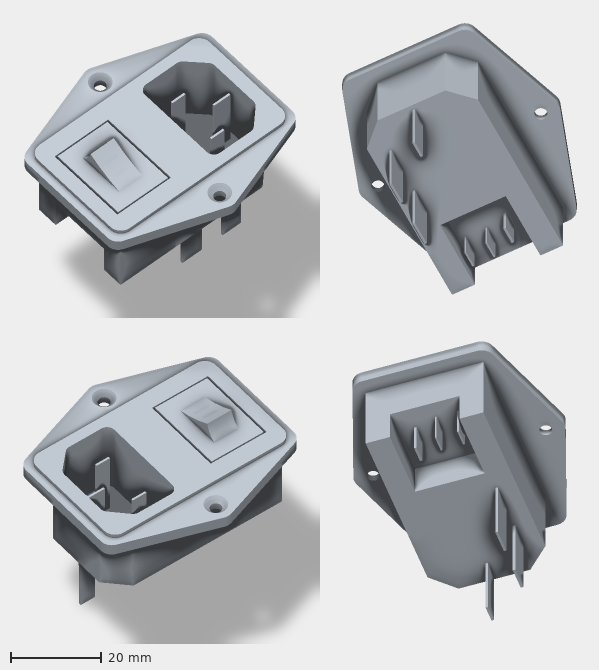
import cadquery as cq
import math


FLANGE_X = 49.45
FLANGE_Y = 54.0
FLANGE_THICKNESS = 3.0
FLANGE_LEAN = 18.8
CORNER_RADIUS = 3.0

BEZEL_X = 30.55
BEZEL_Y = 50.15
BEZEL_HEIGHT = 1.1

HOLE_SPACING = 40.5
HOLE_DIAMETER = 2.85
COUNTERSINK_DIAMETER = 5.45
COUNTERSINK_ANGLE = 90.0

BODY_X = 27.65
BODY_Y = 47.0
BODY_HEIGHT = 17.05
BODY_CHAMFER = 5.4

FLANGE_TOP = -BEZEL_HEIGHT
FLANGE_BOTTOM = FLANGE_TOP - FLANGE_THICKNESS
BODY_BOTTOM = FLANGE_BOTTOM - BODY_HEIGHT

SOCKET_X = 25.05
SOCKET_Y = 17.0
SOCKET_CENTRE_Y = 13.2
SOCKET_CHAMFER = 5.15
SOCKET_RADIUS = 2.05
SOCKET_FLOOR_THICKNESS = 2.15
SOCKET_FLOOR = BODY_BOTTOM + SOCKET_FLOOR_THICKNESS

PIN_THICKNESS = 0.55
PIN_TOP = -2.75
EARTH_PIN_WIDTH = 4.75
EARTH_PIN_Y = 18.05
LINE_PIN_WIDTH = 3.8
LINE_PIN_Y = 11.0
LINE_PIN_X = 6.6
SOCKET_PINS = [
    (0, EARTH_PIN_Y, EARTH_PIN_WIDTH),
    (-LINE_PIN_X, LINE_PIN_Y, LINE_PIN_WIDTH),
    (LINE_PIN_X, LINE_PIN_Y, LINE_PIN_WIDTH),
]

TERMINAL_THICKNESS = 0.6
TERMINAL_LENGTH = 15.05
SIDE_TERMINAL_X = 9.3
TERMINALS = [
    (0, 20.4, 4.0),
    (SIDE_TERMINAL_X, 12.75, 5.4),
    (SIDE_TERMINAL_X, 1.2, 5.8),
]

SWITCH_CENTRE_Y = -13.8
SWITCH_X = 20.5
SWITCH_Y = 14.6
SWITCH_GAP_X = 0.4
SWITCH_GAP_Y = 0.55
SWITCH_DEPTH = -FLANGE_BOTTOM

ROCKER_HALF_LENGTH = 6.15
ROCKER_WIDTH = 6.8
ROCKER_HEIGHT = 4.05
ROCKER_RIDGE_X = -3.6
ROCKER_STEEP_MIDDLE = (-4.55, 1.75)
ROCKER_SHALLOW_MIDDLE = (1.15, 1.6)

NOTCH_X = 16.3
NOTCH_HEIGHT = 7.65
NOTCH_BACK_Y = SWITCH_CENTRE_Y + SWITCH_Y / 2
NOTCH_CEILING = BODY_BOTTOM + NOTCH_HEIGHT
BLADE_WIDTH = 4.0
BLADE_TIP_CLEARANCE = 0.65
BLADES = [
    (-4.05, 0.6, 5.4),
    (1.25, 0.45, 4.0),
    (6.5, 0.45, 4.0),
]


def block(size_x, size_y, bottom, top, centre_x=0.0, centre_y=0.0):
    """Upright block between two heights."""
    return (
        cq.Workplane("XY", origin=(centre_x, centre_y, bottom))
        .rect(size_x, size_y)
        .extrude(top - bottom)
    )


def make_flange():
    lean = math.radians(FLANGE_LEAN)
    tip_x = FLANGE_X / 2 + CORNER_RADIUS * (1 / math.cos(lean) - 1)
    shoulder_y = FLANGE_Y / 2
    shoulder_x = tip_x - shoulder_y * math.tan(lean)
    outline = [
        (tip_x, 0),
        (shoulder_x, shoulder_y),
        (-shoulder_x, shoulder_y),
        (-tip_x, 0),
        (-shoulder_x, -shoulder_y),
        (shoulder_x, -shoulder_y),
    ]
    return (
        cq.Workplane("XY", origin=(0, 0, FLANGE_BOTTOM))
        .polyline(outline)
        .close()
        .extrude(FLANGE_THICKNESS)
        .edges("|Z")
        .fillet(CORNER_RADIUS)
        .faces(">Z")
        .workplane(origin=(0, 0, FLANGE_TOP))
        .pushPoints([(-HOLE_SPACING / 2, 0), (HOLE_SPACING / 2, 0)])
        .cskHole(HOLE_DIAMETER, COUNTERSINK_DIAMETER, COUNTERSINK_ANGLE)
    )


def make_bezel():
    bezel = block(BEZEL_X, BEZEL_Y, FLANGE_TOP, 0)
    return bezel.edges("|Z").fillet(CORNER_RADIUS)


def make_body():
    body = block(BODY_X, BODY_Y, BODY_BOTTOM, FLANGE_BOTTOM)
    return body.faces(">Y").edges("|Z").chamfer(BODY_CHAMFER)


def make_socket_cavity():
    cavity = block(SOCKET_X, SOCKET_Y, SOCKET_FLOOR, 0, centre_y=SOCKET_CENTRE_Y)
    cavity = cavity.faces(">Y").edges("|Z").chamfer(SOCKET_CHAMFER)
    return cavity.edges("|Z").fillet(SOCKET_RADIUS)


def make_switch_pocket():
    return block(
        SWITCH_X + 2 * SWITCH_GAP_X,
        SWITCH_Y + 2 * SWITCH_GAP_Y,
        -SWITCH_DEPTH,
        0,
        centre_y=SWITCH_CENTRE_Y,
    )


def make_notch():
    front_y = -BODY_Y / 2
    return block(
        NOTCH_X,
        NOTCH_BACK_Y - front_y,
        BODY_BOTTOM,
        NOTCH_CEILING,
        centre_y=(front_y + NOTCH_BACK_Y) / 2,
    )


def make_housing():
    housing = make_flange().union(make_bezel()).union(make_body())
    housing = housing.cut(make_socket_cavity()).cut(make_switch_pocket()).cut(make_notch())

    for x, y, width in SOCKET_PINS:
        housing = housing.union(block(PIN_THICKNESS, width, SOCKET_FLOOR, PIN_TOP, x, y))

    terminal_tip = BODY_BOTTOM - TERMINAL_LENGTH
    for x, y, width in TERMINALS:
        housing = housing.union(block(TERMINAL_THICKNESS, width, terminal_tip, BODY_BOTTOM, x, y))

    blade_tip = BODY_BOTTOM + BLADE_TIP_CLEARANCE
    for x, thickness, setback in BLADES:
        y = -BODY_Y / 2 + setback + BLADE_WIDTH / 2
        housing = housing.union(block(thickness, BLADE_WIDTH, blade_tip, NOTCH_CEILING, x, y))
    return housing


def make_rocker():
    return (
        cq.Workplane("XZ", origin=(0, SWITCH_CENTRE_Y, 0))
        .moveTo(-ROCKER_HALF_LENGTH, 0)
        .threePointArc(ROCKER_STEEP_MIDDLE, (ROCKER_RIDGE_X, ROCKER_HEIGHT))
        .threePointArc(ROCKER_SHALLOW_MIDDLE, (ROCKER_HALF_LENGTH, 0))
        .close()
        .extrude(ROCKER_WIDTH / 2, both=True)
    )


def make_switch():
    base = block(SWITCH_X, SWITCH_Y, -SWITCH_DEPTH, 0, centre_y=SWITCH_CENTRE_Y)
    return base.union(make_rocker())


housing = make_housing()
switch = make_switch()

result = cq.Compound.makeCompound([housing.val(), switch.val()])